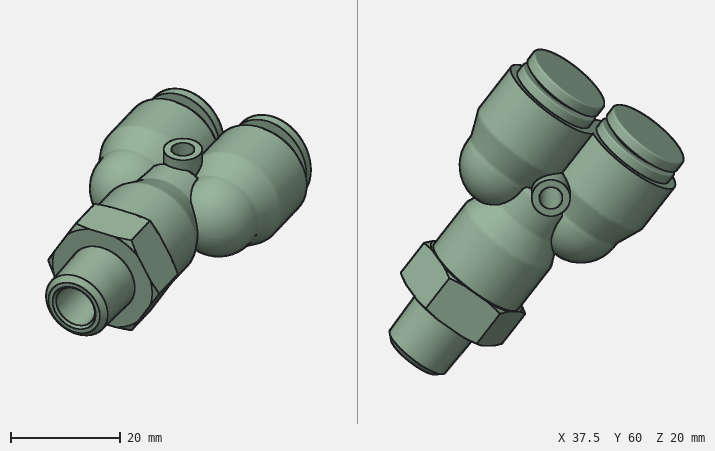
import cadquery as cq
import math


THREAD_LENGTH = 10.9
HEX_LENGTH = 8.15
CONE_LENGTH = 5.0
STEM_CONE_START = 29.05
BRANCH_CONE_END = 45.0
NECK_END = 40.15
DOME_CENTRE = 39.1
BARREL_END = 55.0
COLLAR_END = 56.9
HEAD_START = 57.95
OVERALL_LENGTH = 60.0
HEX_END = THREAD_LENGTH + HEX_LENGTH
STEM_CONE_END = STEM_CONE_START + CONE_LENGTH
BRANCH_CONE_START = BRANCH_CONE_END - CONE_LENGTH

BARREL_RADIUS = 19.5 / 2
NECK_RADIUS = 7.75
BRANCH_OFFSET = 9.0
BRANCH_POSITIONS = (-BRANCH_OFFSET, BRANCH_OFFSET)
OUTER_ROUND = 1.2
INNER_ROUND = 0.9
NECK_END_ROUND = 1.0
EYE_DIAMETER = 7.0
EYE_HOLE_DIAMETER = 4.2
EYE_Y = 42.05

HEX_ACROSS_FLATS = 20.0
HEX_FACE_RADIUS = 10.3
HEX_CHAMFER_LENGTH = 0.5
HEX_CORNER_RADIUS = HEX_ACROSS_FLATS / math.sqrt(3)
THREAD_BASE_RADIUS = 6.7
THREAD_TAPER = 1 / 32
TIP_CHAMFER = 1.1
TIP_CHAMFER_LENGTH = 1.0
BORE_RADIUS = 8.0 / 2
BORE_CHAMFER = 0.5

COLLAR_DIAMETER = 16.5
COLLAR_ROUND = 0.3
SLEEVE_NECK_DIAMETER = 11.7
HEAD_WIDTH = 16.2
HEAD_HEIGHT = 18.6
HEAD_ROUND = 0.35


def revolve_about_y(outline):
    """Turn a closed outline, drawn as (radius, y), about the Y axis."""
    return outline.close().revolve(360, (0, 0, 0), (0, 1, 0))


def disc(start, end, diameter):
    """Round disc on the Y axis between two stations."""
    radius = diameter / 2
    return revolve_about_y(
        cq.Workplane("XY").moveTo(0, start).lineTo(radius, start)
        .lineTo(radius, end).lineTo(0, end)
    )


def round_edge_at(body, y, radius):
    """Fillet the circular edge that lies at one station of a turned body."""
    tolerance = 0.005
    return body.edges("%CIRCLE").filter(
        lambda edge: abs(edge.BoundingBox().ymin - y) < tolerance
        and abs(edge.BoundingBox().ymax - y) < tolerance
    ).fillet(radius)


def make_stem():
    """Single barrel on the nipple side, tapering to a neck with a rounded end."""
    stem = revolve_about_y(
        cq.Workplane("XY").moveTo(0, HEX_END).lineTo(BARREL_RADIUS, HEX_END)
        .lineTo(BARREL_RADIUS, STEM_CONE_START).lineTo(NECK_RADIUS, STEM_CONE_END)
        .lineTo(NECK_RADIUS, NECK_END).lineTo(0, NECK_END)
    )
    stem = round_edge_at(stem, STEM_CONE_START, OUTER_ROUND)
    stem = round_edge_at(stem, STEM_CONE_END, INNER_ROUND)
    return round_edge_at(stem, NECK_END, NECK_END_ROUND)


def make_branch():
    """Port barrel on the Y axis, tapering to a neck closed by a dome."""
    dome_mid = NECK_RADIUS * math.sqrt(0.5)
    branch = revolve_about_y(
        cq.Workplane("XY").moveTo(0, DOME_CENTRE - NECK_RADIUS)
        .threePointArc((dome_mid, DOME_CENTRE - dome_mid), (NECK_RADIUS, DOME_CENTRE))
        .lineTo(NECK_RADIUS, BRANCH_CONE_START).lineTo(BARREL_RADIUS, BRANCH_CONE_END)
        .lineTo(BARREL_RADIUS, BARREL_END).lineTo(0, BARREL_END)
    )
    branch = round_edge_at(branch, BRANCH_CONE_START, INNER_ROUND)
    return round_edge_at(branch, BRANCH_CONE_END, OUTER_ROUND)


def make_housing():
    """Stem and two branches in one body, with a mounting eye in the fork."""
    housing = make_stem()
    for x in BRANCH_POSITIONS:
        housing = housing.union(make_branch().translate((x, 0, 0)))
    eye_plane = cq.Workplane("XY", origin=(0, EYE_Y, -BARREL_RADIUS))
    eye = eye_plane.circle(EYE_DIAMETER / 2).extrude(2 * BARREL_RADIUS)
    eye_hole = eye_plane.circle(EYE_HOLE_DIAMETER / 2).extrude(2 * BARREL_RADIUS)
    return housing.union(eye).cut(eye_hole)


def make_hexagon():
    """Hexagon with flats facing up and down and its corners chamfered at both ends."""
    hexagon = (
        cq.Workplane("XZ", origin=(0, THREAD_LENGTH, 0))
        .polygon(6, 2 * HEX_CORNER_RADIUS).extrude(-HEX_LENGTH)
    )
    envelope = revolve_about_y(
        cq.Workplane("XY").moveTo(0, THREAD_LENGTH).lineTo(HEX_FACE_RADIUS, THREAD_LENGTH)
        .lineTo(HEX_CORNER_RADIUS, THREAD_LENGTH + HEX_CHAMFER_LENGTH)
        .lineTo(HEX_CORNER_RADIUS, HEX_END - HEX_CHAMFER_LENGTH)
        .lineTo(HEX_FACE_RADIUS, HEX_END).lineTo(0, HEX_END)
    )
    return hexagon.intersect(envelope)


def make_nipple():
    """Hexagon and tapered thread blank with a through bore."""
    thread_tip_radius = THREAD_BASE_RADIUS - THREAD_TAPER * (THREAD_LENGTH - TIP_CHAMFER_LENGTH)
    thread = revolve_about_y(
        cq.Workplane("XY").lineTo(thread_tip_radius - TIP_CHAMFER, 0)
        .lineTo(thread_tip_radius, TIP_CHAMFER_LENGTH)
        .lineTo(THREAD_BASE_RADIUS, THREAD_LENGTH).lineTo(0, THREAD_LENGTH)
    )
    bore = revolve_about_y(
        cq.Workplane("XY").lineTo(BORE_RADIUS + BORE_CHAMFER, 0).lineTo(BORE_RADIUS, BORE_CHAMFER)
        .lineTo(BORE_RADIUS, HEX_END).lineTo(0, HEX_END)
    )
    return make_hexagon().union(thread).cut(bore)


def make_collar(x):
    """Collar seated on the end of a branch barrel."""
    collar = disc(BARREL_END, COLLAR_END, COLLAR_DIAMETER).edges(">Y").fillet(COLLAR_ROUND)
    return collar.translate((x, 0, 0))


def make_sleeve(x):
    """Release sleeve: a round neck under an oval press head."""
    head = (
        cq.Workplane("XZ", origin=(0, HEAD_START, 0))
        .ellipse(HEAD_WIDTH / 2, HEAD_HEIGHT / 2).extrude(HEAD_START - OVERALL_LENGTH)
        .edges(">Y").fillet(HEAD_ROUND)
    )
    neck = disc(COLLAR_END, HEAD_START, SLEEVE_NECK_DIAMETER)
    return head.union(neck).translate((x, 0, 0))


housing = make_housing()
nipple = make_nipple()
collars = [make_collar(x).val() for x in BRANCH_POSITIONS]
sleeves = [make_sleeve(x).val() for x in BRANCH_POSITIONS]

result = cq.Compound.makeCompound([housing.val(), nipple.val(), *collars, *sleeves])